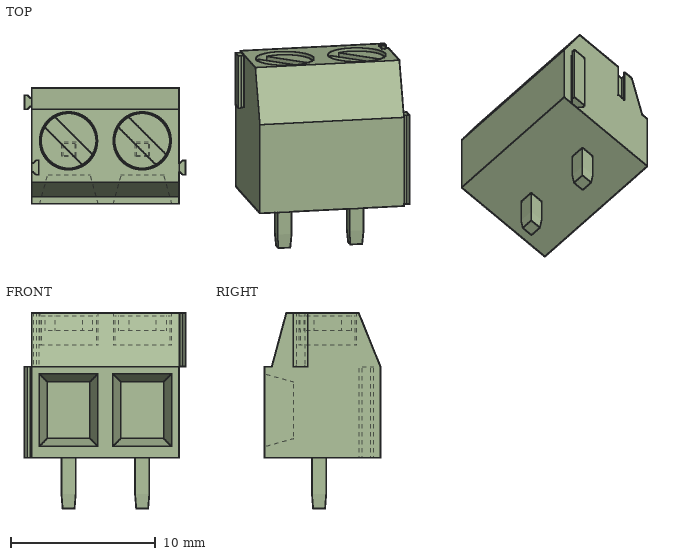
import cadquery as cq


WIDTH = 10.17
DEPTH = 8.0
HEIGHT = 10.0
SHELF_HEIGHT = 6.3
SHELF_DEPTH = 0.5
TOP_SETBACK = 1.5

LEFT = -WIDTH / 2
RIGHT = WIDTH / 2
FRONT = -DEPTH / 2
REAR = DEPTH / 2

WAY_COUNT = 2
PITCH = 5.08
WAY_CENTERS = [(i - (WAY_COUNT - 1) / 2) * PITCH for i in range(WAY_COUNT)]

ENTRY_WIDTH = 4.05
ENTRY_HEIGHT = 5.01
ENTRY_BOTTOM = 0.8
ENTRY_DEPTH = 2.0
ENTRY_INSET = 0.55
ENTRY_CENTER_Z = ENTRY_BOTTOM + ENTRY_HEIGHT / 2

SCREW_TO_REAR = 3.66
SCREW_Y = REAR - SCREW_TO_REAR
SCREW_DIAMETER = 3.8
SCREW_LENGTH = 2.0
SCREW_RECESS = 0.2
HOLE_DIAMETER = 4.0
HOLE_DEPTH = SCREW_RECESS + SCREW_LENGTH
SLOT_WIDTH = 1.0
SLOT_DEPTH = 1.0
SLOT_ANGLE = -45
SLOT_CUT_LENGTH = 1.5 * SCREW_DIAMETER

PIN_TO_REAR = 4.24
PIN_Y = REAR - PIN_TO_REAR
PIN_SIZE = 1.0
PIN_LENGTH = 3.5
PIN_TIP_SIZE = 0.84
PIN_TIP_LENGTH = 1.0

KEY_WIDTH = 1.0
KEY_FLARE = 0.2
KEY_RIM = 0.2
LEFT_KEY_PROJECTION = 0.5
RIGHT_KEY_PROJECTION = 0.45
GROOVE_DEPTH = LEFT_KEY_PROJECTION
LOW_KEY_TO_REAR = 1.0
LOW_KEY_Y = REAR - LOW_KEY_TO_REAR
HIGH_KEY_TO_FRONT = 2.5
HIGH_KEY_Y = FRONT + HIGH_KEY_TO_FRONT
HIGH_KEY_HEIGHT = HEIGHT - SHELF_HEIGHT


def dovetail(root_x, center_y, base_z, reach, height):
    """Upright dovetail bar reaching from root_x by a signed distance along X."""
    direction = 1 if reach > 0 else -1
    tip_x = root_x + reach
    rim_x = tip_x - direction * KEY_RIM
    neck_x = rim_x - direction * KEY_FLARE
    half_width = KEY_WIDTH / 2
    half_neck = half_width - KEY_FLARE
    outline = [
        (root_x, center_y - half_neck),
        (neck_x, center_y - half_neck),
        (rim_x, center_y - half_width),
        (tip_x, center_y - half_width),
        (tip_x, center_y + half_width),
        (rim_x, center_y + half_width),
        (neck_x, center_y + half_neck),
        (root_x, center_y + half_neck),
    ]
    return cq.Workplane("XY", origin=(0, 0, base_z)).polyline(outline).close().extrude(height)


def housing_block():
    """Side profile with a stepped, sloped front and a sloped rear."""
    profile = [
        (FRONT, 0),
        (REAR, 0),
        (REAR, SHELF_HEIGHT),
        (REAR - TOP_SETBACK, HEIGHT),
        (FRONT + TOP_SETBACK, HEIGHT),
        (FRONT + SHELF_DEPTH, SHELF_HEIGHT),
        (FRONT, SHELF_HEIGHT),
    ]
    return cq.Workplane("YZ", origin=(LEFT, 0, 0)).polyline(profile).close().extrude(WIDTH)


def entry_funnel(x):
    """Rectangular wire entry that narrows towards its floor."""
    return (
        cq.Workplane("XZ", origin=(x, FRONT, ENTRY_CENTER_Z))
        .rect(ENTRY_WIDTH, ENTRY_HEIGHT)
        .workplane(offset=-ENTRY_DEPTH)
        .rect(ENTRY_WIDTH - 2 * ENTRY_INSET, ENTRY_HEIGHT - 2 * ENTRY_INSET)
        .loft(ruled=True)
    )


def screw_hole(x):
    return cq.Workplane("XY", origin=(x, SCREW_Y, HEIGHT)).circle(HOLE_DIAMETER / 2).extrude(-HOLE_DEPTH)


def make_housing():
    body = housing_block()
    for x in WAY_CENTERS:
        body = body.cut(entry_funnel(x))
        body = body.cut(screw_hole(x))
    key_groove = dovetail(LEFT, HIGH_KEY_Y, SHELF_HEIGHT, GROOVE_DEPTH, HIGH_KEY_HEIGHT)
    return body.cut(key_groove)


def make_screw(x):
    """Slotted screw standing on the floor of its hole."""
    top_z = HEIGHT - SCREW_RECESS
    shank = cq.Workplane("XY", origin=(x, SCREW_Y, top_z)).circle(SCREW_DIAMETER / 2).extrude(-SCREW_LENGTH)
    slot = (
        cq.Workplane("XY", origin=(x, SCREW_Y, top_z))
        .transformed(rotate=(0, 0, SLOT_ANGLE))
        .rect(SLOT_CUT_LENGTH, SLOT_WIDTH)
        .extrude(-SLOT_DEPTH)
    )
    return shank.cut(slot)


def make_pin(x):
    """Square pin with a tapered tip, hanging from the underside of the housing."""
    shaft_length = PIN_LENGTH - PIN_TIP_LENGTH
    shaft = cq.Workplane("XY", origin=(x, PIN_Y, 0)).rect(PIN_SIZE, PIN_SIZE).extrude(-shaft_length)
    tip = (
        cq.Workplane("XY", origin=(x, PIN_Y, -shaft_length))
        .rect(PIN_SIZE, PIN_SIZE)
        .workplane(offset=-PIN_TIP_LENGTH)
        .rect(PIN_TIP_SIZE, PIN_TIP_SIZE)
        .loft(ruled=True)
    )
    return shaft.union(tip)


housing = make_housing()
screws = [make_screw(x) for x in WAY_CENTERS]
pins = [make_pin(x) for x in WAY_CENTERS]

low_key = dovetail(LEFT, LOW_KEY_Y, 0, -LEFT_KEY_PROJECTION, SHELF_HEIGHT)
high_key = dovetail(RIGHT, HIGH_KEY_Y, SHELF_HEIGHT, RIGHT_KEY_PROJECTION, HIGH_KEY_HEIGHT)
keys = [low_key, high_key]

result = cq.Compound.makeCompound([body.val() for body in [housing, *screws, *pins, *keys]])